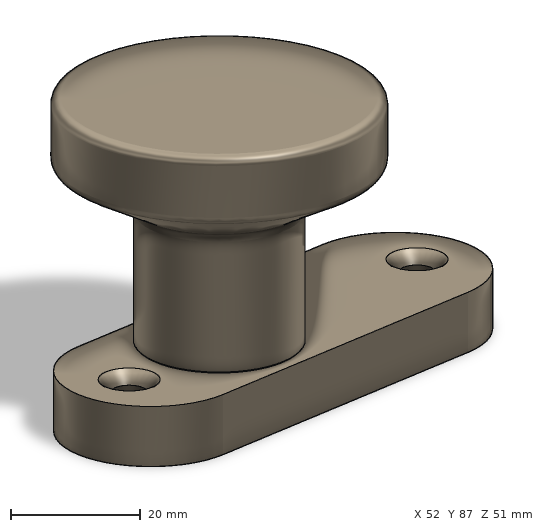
import cadquery as cq

plate_length = 87.0
plate_width = 30.0
plate_thickness = 10.0

screw_hole_diameter = 5.5
countersink_diameter = 9.6
countersink_angle = 90.0
screw_hole_end_distance = 10.0
screw_hole_y = plate_length / 2 - screw_hole_end_distance

overall_height = 51.0
knob_y = -12.5
head_diameter = 52.0
head_rim_height = 11.0
underside_drop = 7.05
head_edge_radius = 1.5
neck_fillet_radius = 2.0
stem_diameter = 26.5
stem_foot_diameter = 26.0

head_radius = head_diameter / 2
stem_radius = stem_diameter / 2
stem_foot_radius = stem_foot_diameter / 2
foot_chamfer = stem_radius - stem_foot_radius
knob_height = overall_height - plate_thickness
rim_bottom_z = knob_height - head_rim_height
neck_z = rim_bottom_z - underside_drop


def make_plate():
    """Round-ended bar with its underside on Z = 0 and two countersunk through holes."""
    bar = cq.Workplane("XY").slot2D(plate_length, plate_width, angle=90).extrude(plate_thickness)
    return (
        bar.faces(">Z")
        .workplane()
        .pushPoints([(0, screw_hole_y), (0, -screw_hole_y)])
        .cskHole(screw_hole_diameter, countersink_diameter, countersink_angle)
    )


def ring_at(radius, z):
    """Selector for the circular edge of the given radius and height on the knob axis."""
    margin = 0.1
    reach = radius + margin
    return cq.selectors.BoxSelector(
        (-reach, -reach, z - margin), (reach, reach, z + margin), boundingbox=True
    )


def make_knob():
    """Stem with a chamfered foot, a conical underside and a disc head with rounded edges."""
    profile = (
        cq.Workplane("XZ")
        .polyline(
            [
                (0, 0),
                (stem_foot_radius, 0),
                (stem_radius, foot_chamfer),
                (stem_radius, neck_z),
                (head_radius, rim_bottom_z),
                (head_radius, knob_height),
                (0, knob_height),
            ]
        )
        .close()
    )
    knob = profile.revolve(360, (0, 0, 0), (0, 1, 0))
    knob = knob.edges(ring_at(head_radius, knob_height)).fillet(head_edge_radius)
    knob = knob.edges(ring_at(head_radius, rim_bottom_z)).fillet(head_edge_radius)
    knob = knob.edges(ring_at(stem_radius, neck_z)).fillet(neck_fillet_radius)
    return knob.translate((0, knob_y, plate_thickness))


plate = make_plate()
knob = make_knob()

result = cq.Compound.makeCompound([plate.val(), knob.val()])